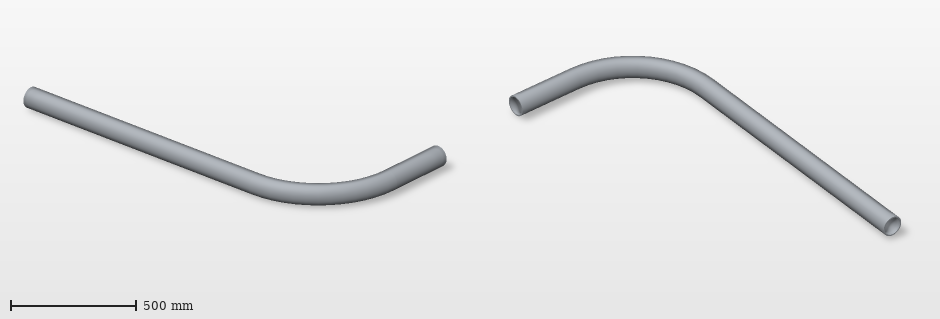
import cadquery as cq

overall_length = 1620.0
outer_diameter = 89.0
wall = 5.5
long_leg = 1200.0
short_leg = 300.0

outer_radius = outer_diameter / 2
bend_radius = overall_length - long_leg - outer_radius

bend_end_x = long_leg + bend_radius
centre_line = (
    cq.Workplane("XY")
    .lineTo(long_leg, 0)
    .radiusArc((bend_end_x, bend_radius), -bend_radius)
    .lineTo(bend_end_x, bend_radius + short_leg)
)

result = (
    cq.Workplane("YZ")
    .circle(outer_radius)
    .circle(outer_radius - wall)
    .sweep(centre_line)
)